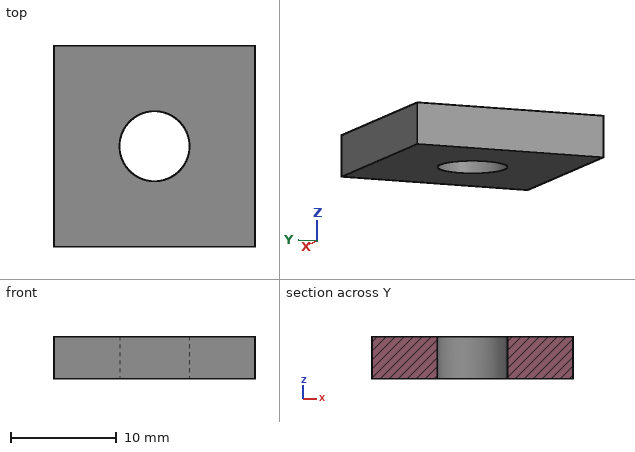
import cadquery as cq

side_length = 19.0
thickness = 4.0
hole_diameter = 6.6

plate = cq.Workplane("XY").box(side_length, side_length, thickness, centered=(True, True, False))

result = plate.faces(">Z").workplane().hole(hole_diameter)